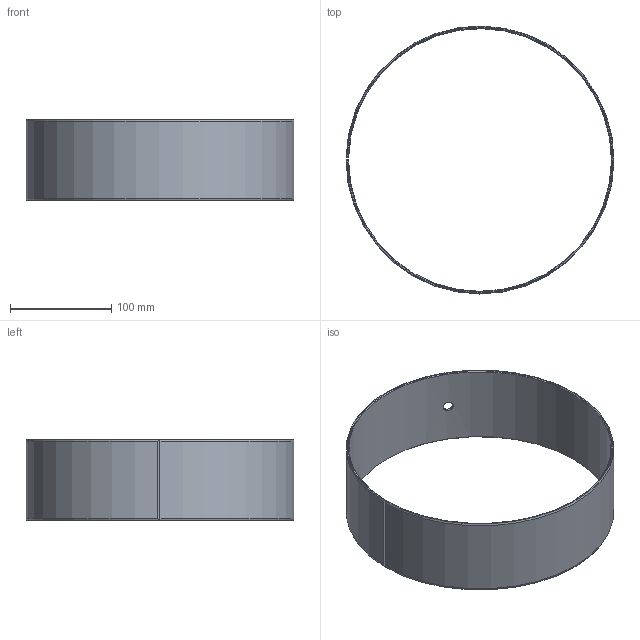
import cadquery as cq
import math

outer_diameter = 265.0
wall_thickness = 2.5
ring_height = 80.0

outer_bevel_height = 1.9
outer_bevel_depth = 0.65

inner_bevel = 0.8

gap_angle = 1.0

hole_diameter = 10.0
hole_angle = 59.0

outer_radius = outer_diameter / 2
inner_radius = outer_radius - wall_thickness


def make_split_ring():
    """Sweep the bevelled wall section from the -X side around Z, leaving the gap open."""
    outer_land = outer_radius - outer_bevel_depth
    inner_land = inner_radius + inner_bevel
    section = [
        (-outer_land, 0),
        (-outer_radius, outer_bevel_height),
        (-outer_radius, ring_height - outer_bevel_height),
        (-outer_land, ring_height),
        (-inner_land, ring_height),
        (-inner_radius, ring_height - inner_bevel),
        (-inner_radius, inner_bevel),
        (-inner_land, 0),
    ]
    sweep_angle = 360 - gap_angle
    ring = cq.Workplane("XZ").polyline(section).close().revolve(sweep_angle, (0, 0, 0), (0, 1, 0))

    half_gap = math.radians(gap_angle / 2)
    middle_radius = (outer_radius + inner_radius) / 2
    gap_center = cq.Vector(
        -middle_radius * math.cos(half_gap),
        middle_radius * math.sin(half_gap),
        ring_height / 2,
    )
    if ring.val().isInside(gap_center):
        ring = ring.mirror("XZ")
    return ring


def make_hole():
    """Cylinder running from the ring axis outwards through one side of the wall."""
    angle = math.radians(hole_angle)
    direction = cq.Vector(math.cos(angle), math.sin(angle), 0)
    center = cq.Vector(0, 0, ring_height / 2)
    return cq.Workplane(cq.Solid.makeCylinder(hole_diameter / 2, outer_diameter, center, direction))


result = make_split_ring().cut(make_hole())